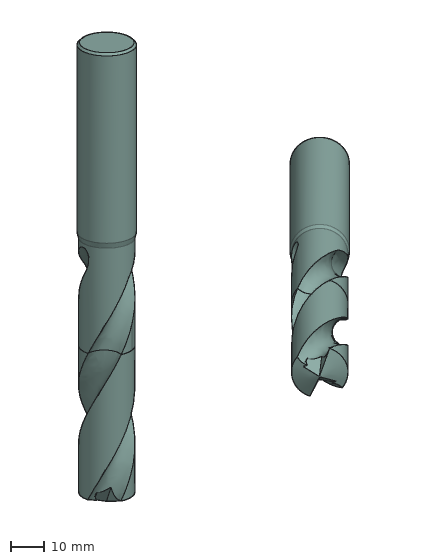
import cadquery as cq
import math

length = 150.0
shank_radius = 9.0
body_radius = 8.5
split_z = 51.0
neck_z = 86.2
neck_cone_height = 1.8
end_chamfer = 0.8
point_half_angle = 70.0
point_height = body_radius / math.tan(math.radians(point_half_angle))

flute_count = 2
flute_pitch = 95.2
flute_half_angle = 36.0
core_radius = 3.8
flute_front_z = 45.3
flute_end_z = 75.5
runout_height = 10.6
runout_drift = 0.9
runout_rise = 0.2

edge_depth = body_radius * math.cos(math.radians(flute_half_angle))
edge_offset = body_radius * math.sin(math.radians(flute_half_angle))
flute_radius = ((edge_depth - core_radius) ** 2 + edge_offset ** 2) / (2 * (edge_depth - core_radius))
flute_center = core_radius + flute_radius

gash_start = (0.2, -0.3, 0.5)
gash_end = (5.7, -5.4, 12.3)
gash_depth = 9.0
gash_left_width = 7.5
gash_right_width = 3.0


def flute_angle(z):
    """Direction, in degrees, that the first flute faces at height z."""
    return -90.0 + 360.0 * (z - flute_front_z) / flute_pitch


def repeat_around_axis(shape):
    """Copies of a shape spaced evenly around the drill axis."""
    step = 360.0 / flute_count
    return [shape.rotate((0, 0, 0), (0, 0, 1), i * step) for i in range(flute_count)]


def flute_section(z):
    angle = math.radians(flute_angle(z))
    center = (flute_center * math.cos(angle), flute_center * math.sin(angle))
    return cq.Workplane("XY").workplane(offset=z).pushPoints([center]).circle(flute_radius)


def helical_flute(bottom_z, top_z):
    height = top_z - bottom_z
    return flute_section(bottom_z).twistExtrude(height, 360.0 * height / flute_pitch)


def flute_runout():
    """Straight continuation of the flute that drifts outward until it leaves the neck."""
    angle = math.radians(flute_angle(flute_end_z))
    direction = cq.Vector(
        runout_rise * math.cos(angle) - runout_drift * math.sin(angle),
        runout_rise * math.sin(angle) + runout_drift * math.cos(angle),
        1.0,
    )
    section = cq.Wire.assembleEdges(flute_section(flute_end_z).vals()[0].Edges())
    return cq.Workplane(cq.Solid.extrudeLinear(section, [], direction * runout_height))


def point_gash():
    """V groove with its root along the line from gash_start to gash_end, open downward."""
    root_start = cq.Vector(*gash_start)
    root = cq.Vector(*gash_end) - root_start
    left = cq.Vector(-gash_left_width, 0, -gash_depth)
    right = cq.Vector(gash_right_width, 0, -gash_depth)
    section = cq.Wire.makePolygon([root_start, root_start + left, root_start + right], close=True)
    return cq.Workplane(cq.Solid.extrudeLinear(section, [], root))


def make_shank():
    outline = [
        (0, split_z),
        (body_radius, split_z),
        (body_radius, neck_z),
        (shank_radius, neck_z + neck_cone_height),
        (shank_radius, length - end_chamfer),
        (shank_radius - end_chamfer, length),
        (0, length),
    ]
    shank = cq.Workplane("XZ").polyline(outline).close().revolve(360, (0, 0), (0, 1))
    for tool in (helical_flute(split_z, flute_end_z), flute_runout()):
        for cutter in repeat_around_axis(tool):
            shank = shank.cut(cutter)
    return shank


def make_cutting_head():
    outline = [(0, 0), (body_radius, point_height), (body_radius, split_z), (0, split_z)]
    head = cq.Workplane("XZ").polyline(outline).close().revolve(360, (0, 0), (0, 1))
    for tool in (helical_flute(0, split_z), point_gash()):
        for cutter in repeat_around_axis(tool):
            head = head.cut(cutter)
    return head


shank = make_shank()
cutting_head = make_cutting_head()

result = cq.Compound.makeCompound([shank.val(), cutting_head.val()])